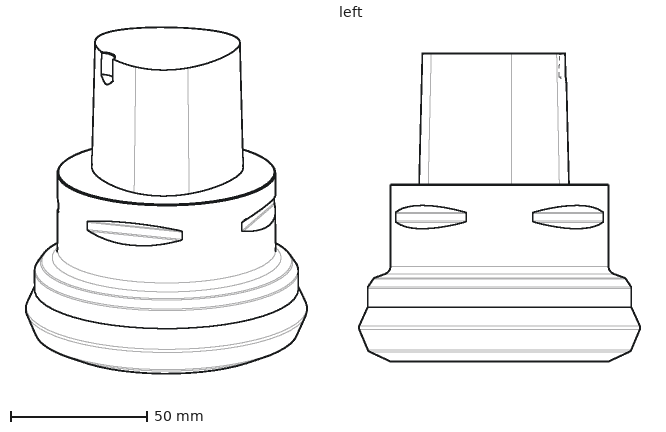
import cadquery as cq
import math


SHANK_LENGTH = 48.0
SHANK_MEAN_DIAMETER = 55.0
SHANK_ECCENTRICITY = 2.0
SHANK_TAPER = 1 / 20
LOBES = 3
LOBE_PITCH = 360 / LOBES
FIRST_LOBE_ANGLE = 90.0
LOBE_CORNER_HALF_ANGLE = 25.0
SPLINE_SPANS = 10

NOTCH_RADIUS = 6.0
NOTCH_AXIS_Y = -27.8
NOTCH_WALL_DEPTH = 8.5
NOTCH_CONE_SLOPE = 41.0
NOTCH_RIM_CHAMFER = 0.3

FLANGE_RADIUS = 80.0 / 2
FLANGE_CHAMFER = 0.4
FLANGE_HEIGHT = 30.0
NECK_FILLET = 3.0
SHOULDER_SLOPE = 20.0
SHOULDER_RADIUS = 46.1
SHOULDER_FILLET = 1.0
BODY_RADIUS = 96.75 / 2
BODY_TOP_Z = -37.7
BODY_BOTTOM_Z = -45.0

GROOVE_COUNT = 4
GROOVE_FIRST_ANGLE = 45.0
GROOVE_Z = -12.0
GROOVE_FLOOR_DISTANCE = 35.55
GROOVE_FLOOR_WIDTH = 3.4
GROOVE_FLOOR_FILLET = 0.5
GROOVE_SIDE_ANGLE = 30.0

RING_BOTTOM_Z = -64.97
RING_BOTTOM_RADIUS = 40.0
RING_LOWER_CORNER = (48.1, -61.2)
RING_RIM_CORNER = (51.76, -52.5)
RING_CORNER_FILLET = 1.5


def shank_section(z):
    """Closed trochoid wire at height z, split where each lobe corner meets a flatter side."""
    mean_radius = (SHANK_MEAN_DIAMETER - SHANK_TAPER * z) / 2

    def outline_point(angle):
        swing = math.radians(angle)
        turn = math.radians(FIRST_LOBE_ANGLE)
        x = mean_radius * math.cos(swing) + SHANK_ECCENTRICITY * math.cos((LOBES - 1) * swing)
        y = mean_radius * math.sin(swing) - SHANK_ECCENTRICITY * math.sin((LOBES - 1) * swing)
        return (
            x * math.cos(turn) - y * math.sin(turn),
            x * math.sin(turn) + y * math.cos(turn),
            z,
        )

    def outline_edge(start, end):
        step = (end - start) / SPLINE_SPANS
        points = [outline_point(start + index * step) for index in range(SPLINE_SPANS + 1)]
        return cq.Edge.makeSpline([cq.Vector(*point) for point in points])

    edges = []
    for lobe in range(LOBES):
        middle = lobe * LOBE_PITCH
        corner_start = middle - LOBE_CORNER_HALF_ANGLE
        corner_end = middle + LOBE_CORNER_HALF_ANGLE
        edges.append(outline_edge(corner_start, corner_end))
        edges.append(outline_edge(corner_end, corner_start + LOBE_PITCH))
    return cq.Wire.assembleEdges(edges)


def shank():
    sections = [shank_section(0), shank_section(SHANK_LENGTH)]
    return cq.Workplane(cq.Solid.makeLoft(sections, True))


def shank_notch():
    """Upright round cutter with a conical tip and a flared rim, its axis outside the shank wall."""
    wall_end_z = SHANK_LENGTH - NOTCH_WALL_DEPTH
    tip_z = wall_end_z - NOTCH_RADIUS * math.tan(math.radians(NOTCH_CONE_SLOPE))
    half_profile = (
        cq.Workplane("XZ")
        .moveTo(0, tip_z)
        .lineTo(NOTCH_RADIUS, wall_end_z)
        .lineTo(NOTCH_RADIUS, SHANK_LENGTH - NOTCH_RIM_CHAMFER)
        .lineTo(NOTCH_RADIUS + NOTCH_RIM_CHAMFER, SHANK_LENGTH)
        .lineTo(0, SHANK_LENGTH)
        .close()
    )
    return half_profile.revolve(360, (0, 0), (0, 1)).translate((0, NOTCH_AXIS_Y, 0))


def round_edge_at_height(solid, z, radius):
    """Fillet the circular edge whose centre lies on the axis at height z."""
    return solid.edges(cq.NearestToPointSelector((0, 0, z))).fillet(radius)


def neck_arc_point(sweep):
    """Point (radius, z) on the neck fillet, sweep degrees below its start on the flange wall."""
    turn = math.radians(sweep)
    return (
        FLANGE_RADIUS + NECK_FILLET * (1 - math.cos(turn)),
        -FLANGE_HEIGHT - NECK_FILLET * math.sin(turn),
    )


def flange():
    """Turned flange, neck fillet, sloping shoulder and body cylinder."""
    neck_sweep = 90 - SHOULDER_SLOPE
    neck_end = neck_arc_point(neck_sweep)
    shoulder_drop = (SHOULDER_RADIUS - neck_end[0]) * math.tan(math.radians(SHOULDER_SLOPE))
    shoulder_z = neck_end[1] - shoulder_drop
    half_profile = (
        cq.Workplane("XZ")
        .lineTo(FLANGE_RADIUS - FLANGE_CHAMFER, 0)
        .lineTo(FLANGE_RADIUS, -FLANGE_CHAMFER)
        .lineTo(FLANGE_RADIUS, -FLANGE_HEIGHT)
        .threePointArc(neck_arc_point(neck_sweep / 2), neck_end)
        .lineTo(SHOULDER_RADIUS, shoulder_z)
        .lineTo(BODY_RADIUS, BODY_TOP_Z)
        .lineTo(BODY_RADIUS, BODY_BOTTOM_Z)
        .lineTo(0, BODY_BOTTOM_Z)
        .close()
    )
    turned = half_profile.revolve(360, (0, 0), (0, 1))
    turned = round_edge_at_height(turned, shoulder_z, SHOULDER_FILLET)
    return round_edge_at_height(turned, BODY_TOP_Z, SHOULDER_FILLET)


def gripper_groove(angle):
    """Straight groove across the flange with a flat floor and flared sides."""
    depth = FLANGE_RADIUS - GROOVE_FLOOR_DISTANCE
    floor_half = GROOVE_FLOOR_WIDTH / 2
    mouth_half = floor_half + depth * math.tan(math.radians(GROOVE_SIDE_ANGLE))
    section = (
        cq.Workplane("XZ")
        .moveTo(GROOVE_FLOOR_DISTANCE, GROOVE_Z - floor_half)
        .lineTo(FLANGE_RADIUS, GROOVE_Z - mouth_half)
        .lineTo(FLANGE_RADIUS, GROOVE_Z + mouth_half)
        .lineTo(GROOVE_FLOOR_DISTANCE, GROOVE_Z + floor_half)
        .close()
    )
    groove = section.extrude(FLANGE_RADIUS, both=True)
    groove = groove.faces("<X").edges("|Y").fillet(GROOVE_FLOOR_FILLET)
    return groove.rotate((0, 0, 0), (0, 0, 1), angle)


def make_holder():
    body = flange().union(shank()).cut(shank_notch())
    for index in range(GROOVE_COUNT):
        body = body.cut(gripper_groove(GROOVE_FIRST_ANGLE + index * 360 / GROOVE_COUNT))
    return body.solids()


def make_milling_ring():
    """Round cutting body that carries on from the holder's lower face, widest at its rim."""
    half_profile = (
        cq.Workplane("XZ")
        .moveTo(0, BODY_BOTTOM_Z)
        .lineTo(BODY_RADIUS, BODY_BOTTOM_Z)
        .lineTo(*RING_RIM_CORNER)
        .lineTo(*RING_LOWER_CORNER)
        .lineTo(RING_BOTTOM_RADIUS, RING_BOTTOM_Z)
        .lineTo(0, RING_BOTTOM_Z)
        .close()
    )
    ring = half_profile.revolve(360, (0, 0), (0, 1))
    for corner in (RING_RIM_CORNER, RING_LOWER_CORNER):
        ring = round_edge_at_height(ring, corner[1], RING_CORNER_FILLET)
    return ring.solids()


holder = make_holder()
milling_ring = make_milling_ring()
result = cq.Compound.makeCompound([holder.val(), milling_ring.val()])